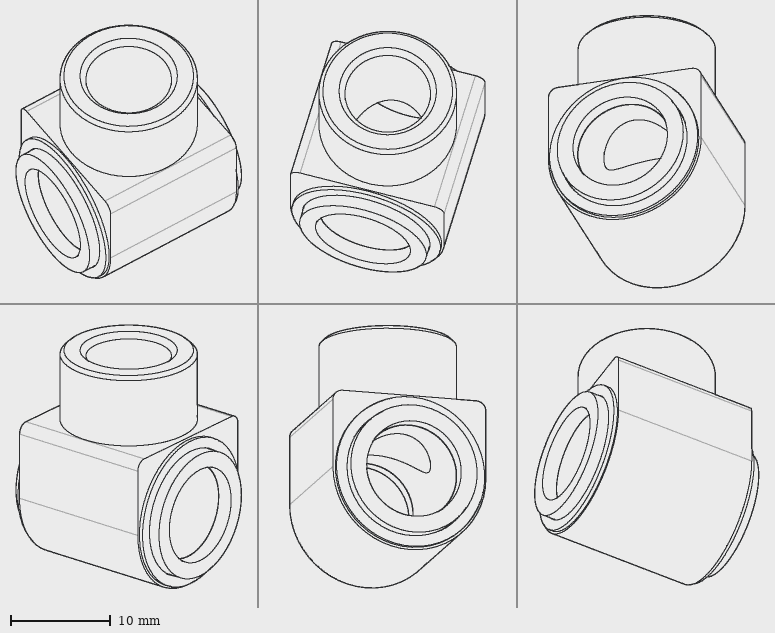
import cadquery as cq

total_height = 23.5
housing_width = 16.0
housing_length = 15.23
corner_radius = 1.0
round_radius = housing_width / 2
neck_top = total_height - round_radius

boss_diameter = 15.5
boss_height = 0.4
boss_face = housing_length / 2 + boss_height

neck_diameter = 13.8
neck_bore = 8.58
neck_edge_chamfer = 0.4
neck_mouth_chamfer = 0.59

main_bore = 9.8
seat_diameter = 13.3
seat_depth = 0.4

ring_outer = 13.2
ring_inner = 9.9
overall_length = 18.4
ring_length = overall_length / 2 - boss_face + seat_depth


def cylinder_along_y(diameter, start, length):
    """Cylinder on the Y axis, from y = start toward +Y."""
    return cq.Workplane("XZ", origin=(0, start, 0)).circle(diameter / 2).extrude(-length)


def make_body_block():
    """Round-bottomed block with a flat top and rounded upper edges."""
    outline = (
        cq.Workplane("XZ", origin=(0, -housing_length / 2, 0))
        .moveTo(-round_radius, 0)
        .threePointArc((0, -round_radius), (round_radius, 0))
        .lineTo(round_radius, round_radius)
        .lineTo(-round_radius, round_radius)
        .close()
    )
    block = outline.extrude(-housing_length)
    return block.edges("|Y and >Z").fillet(corner_radius)


def make_neck():
    neck = cq.Workplane("XY").circle(neck_diameter / 2).extrude(neck_top)
    return neck.faces(">Z").edges().chamfer(neck_edge_chamfer)


def make_neck_bore():
    """Vertical bore with a chamfered mouth, ending at the main bore axis."""
    bore = cq.Workplane("XY").circle(neck_bore / 2).extrude(neck_top)
    mouth = (
        cq.Workplane("XY", origin=(0, 0, neck_top))
        .circle(neck_bore / 2 + neck_mouth_chamfer)
        .extrude(-neck_mouth_chamfer, taper=45)
    )
    return bore.union(mouth)


def make_housing():
    housing = make_body_block().union(make_neck())
    housing = housing.union(cylinder_along_y(boss_diameter, -boss_face, 2 * boss_face))
    housing = housing.cut(cylinder_along_y(main_bore, -boss_face, 2 * boss_face))
    for seat_start in (-boss_face, boss_face - seat_depth):
        housing = housing.cut(cylinder_along_y(seat_diameter, seat_start, seat_depth))
    return housing.cut(make_neck_bore())


def make_ring(start):
    ring = cylinder_along_y(ring_outer, start, ring_length)
    return ring.cut(cylinder_along_y(ring_inner, start, ring_length))


housing = make_housing()
ring_starts = (-overall_length / 2, overall_length / 2 - ring_length)
rings = [make_ring(start) for start in ring_starts]

result = cq.Compound.makeCompound([housing.val(), *[ring.val() for ring in rings]])